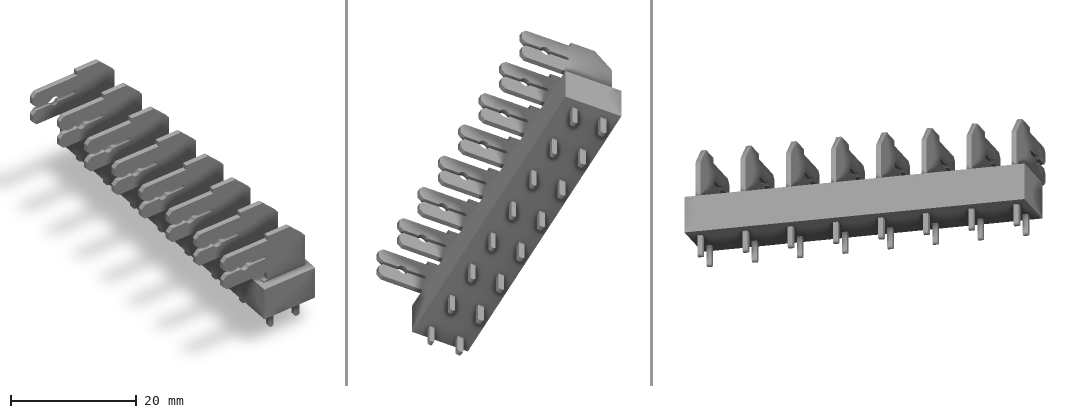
import cadquery as cq

housing_length = 56.5
housing_depth = 9.9
housing_height = 6.0

terminal_count = 8
end_margin = 2.0
terminal_thickness = 0.85
terminal_pitch = (housing_length - 2 * end_margin) / (terminal_count - 1)

blade_back_y = 9.0
blade_front_y = 1.7
blade_top_z = 15.0
blade_back_chamfer = 3.05

foot_length = 0.8
foot_height = 0.3

tab_tip_y = -6.95
tab_center_z = 10.95
tab_height = 6.25
finger_chamfer = 0.75
slot_width = 0.7
slot_end_y = 1.35
relief_hole_y = -2.7
relief_hole_radius = 0.85

pin_tip_z = -3.5
back_pin_y = 7.45
back_pin_width = 1.0
front_pin_y = 2.45
front_pin_width = 0.85
pin_tip_radius = 0.4


def plate(outline):
    """Turn a closed Y-Z outline into a plate centred on X = 0."""
    return outline.extrude(terminal_thickness / 2, both=True)


def box_plate(y_start, y_end, z_start, z_end):
    """Rectangular plate spanning the given Y and Z ranges."""
    outline = (
        cq.Workplane("YZ")
        .moveTo(y_start, z_start)
        .lineTo(y_end, z_start)
        .lineTo(y_end, z_end)
        .lineTo(y_start, z_end)
        .close()
    )
    return plate(outline)


def make_blade():
    """Upright blade with its upper back corner cut off and a low front foot."""
    outline = (
        cq.Workplane("YZ")
        .moveTo(blade_back_y, housing_height)
        .lineTo(blade_back_y, blade_top_z - blade_back_chamfer)
        .lineTo(blade_back_y - blade_back_chamfer, blade_top_z)
        .lineTo(blade_front_y, blade_top_z)
        .lineTo(blade_front_y, housing_height + foot_height)
        .lineTo(blade_front_y - foot_length, housing_height + foot_height)
        .lineTo(blade_front_y - foot_length, housing_height)
        .close()
    )
    return plate(outline)


def make_finger(z_start, z_end):
    """One finger of the tab, chamfered at both corners of its tip."""
    return box_plate(tab_tip_y, blade_front_y, z_start, z_end).edges("|X and <Y").chamfer(finger_chamfer)


def make_slot():
    """Slot between the fingers with a round inner end and a round relief hole across it."""
    slot_radius = slot_width / 2
    straight_end_y = slot_end_y - slot_radius
    straight = box_plate(tab_tip_y, straight_end_y, tab_center_z - slot_radius, tab_center_z + slot_radius)
    round_end = plate(cq.Workplane("YZ").center(straight_end_y, tab_center_z).circle(slot_radius))
    relief_hole = plate(cq.Workplane("YZ").center(relief_hole_y, tab_center_z).circle(relief_hole_radius))
    return straight.union(round_end).union(relief_hole)


def make_tab():
    """Two fingers joined behind the slot."""
    finger_height = (tab_height - slot_width) / 2
    tab_bottom_z = tab_center_z - tab_height / 2
    tab_top_z = tab_center_z + tab_height / 2
    lower_finger = make_finger(tab_bottom_z, tab_bottom_z + finger_height)
    upper_finger = make_finger(tab_top_z - finger_height, tab_top_z)
    slot_root = box_plate(slot_end_y - slot_width, blade_front_y, tab_bottom_z, tab_top_z)
    return lower_finger.union(upper_finger).union(slot_root).cut(make_slot())


def make_pin(center_y, width):
    """Square-ended pin from the top of the housing down to the tip."""
    return box_plate(center_y - width / 2, center_y + width / 2, pin_tip_z, housing_height)


def make_rounded_pin(center_y, width):
    """Pin with both corners of its tip rounded."""
    return make_pin(center_y, width).edges("|X and <Z").fillet(pin_tip_radius)


def make_terminal():
    """Blade, tab and both pins as one stamped piece."""
    back_pin = make_rounded_pin(back_pin_y, back_pin_width)
    front_pin = make_rounded_pin(front_pin_y, front_pin_width)
    return make_blade().union(make_tab()).union(back_pin).union(front_pin)


def make_housing(positions):
    """Bar with a pair of rectangular pin holes at each terminal position."""
    bar = cq.Workplane("XY").box(housing_length, housing_depth, housing_height, centered=False)
    for x in positions:
        bar = bar.cut(make_pin(back_pin_y, back_pin_width).translate((x, 0, 0)))
        bar = bar.cut(make_pin(front_pin_y, front_pin_width).translate((x, 0, 0)))
    return bar


terminal_positions = [end_margin + i * terminal_pitch for i in range(terminal_count)]
housing = make_housing(terminal_positions)
terminal = make_terminal()
terminals = [terminal.translate((x, 0, 0)) for x in terminal_positions]

result = cq.Compound.makeCompound([housing.val(), *[t.val() for t in terminals]])